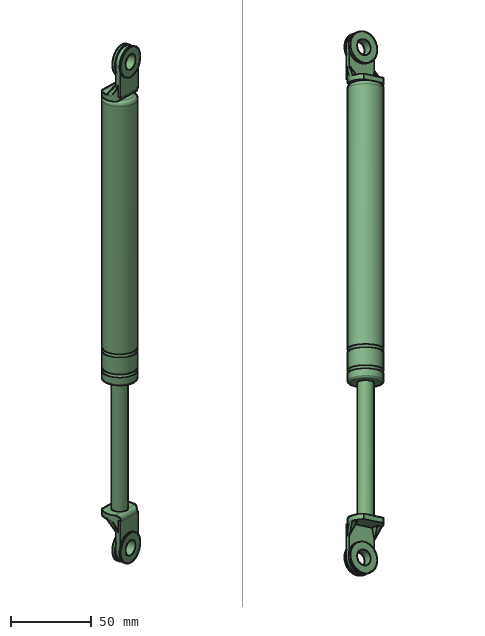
import cadquery as cq


length = 350.0
body_diameter = 22.5
body_radius = body_diameter / 2
seat_height = 140.5
tube_bottom = -52.5
rod_diameter = 10.5

tube_end_round = 2.8
groove_centres = [-32.0, -45.5]
groove_width = 2.0
groove_depth = 0.7

sheet = 3.5
plate_outer_x = 7.5
plate_inner_x = plate_outer_x - sheet
plate_width = 19.0
bend_radius = 3.5
base_flat_x = -8.5
gusset_rise = 7.7
gusset_run = 5.5
gusset_inner_y = 7.7

flange_diameter = 20.3
sleeve_diameter = 14.0
eye_bore = 10.0
inner_flange = 2.0
outer_flange = 1.0
eye_height = length / 2 - flange_diameter / 2


def x_cylinder(diameter, x_start, x_end):
    """Cylinder along X through the centre of the upper eye."""
    return (
        cq.Workplane("YZ", origin=(x_start, 0, eye_height))
        .circle(diameter / 2)
        .extrude(x_end - x_start)
    )


def make_tube():
    """Solid cylinder with rounded ends and two rolled grooves."""
    tube = (
        cq.Workplane("XY", origin=(0, 0, tube_bottom))
        .circle(body_radius)
        .extrude(seat_height - tube_bottom)
        .faces(">Z").edges().fillet(tube_end_round)
        .faces("<Z").edges().fillet(tube_end_round / 2)
    )
    for z in groove_centres:
        groove = (
            cq.Workplane("XZ")
            .moveTo(body_radius, z - groove_width / 2)
            .threePointArc((body_radius - groove_depth, z), (body_radius, z + groove_width / 2))
            .lineTo(body_radius + groove_depth, z + groove_width / 2)
            .lineTo(body_radius + groove_depth, z - groove_width / 2)
            .close()
            .revolve(360, (0, 0, 0), (0, 1, 0))
        )
        tube = tube.cut(groove)
    return tube


def make_rod():
    """Rod from the tube end to the lower bracket seat."""
    return (
        cq.Workplane("XY", origin=(0, 0, -seat_height))
        .circle(rod_diameter / 2)
        .extrude(tube_bottom + seat_height)
    )


def make_gussets():
    """Two sloping side webs that join the base to the eye plate."""
    base_top = seat_height + sheet
    web_side = (
        cq.Workplane("XZ")
        .moveTo(plate_inner_x - gusset_run, base_top)
        .lineTo(plate_inner_x, base_top + gusset_rise)
        .lineTo(plate_outer_x, base_top + gusset_rise)
        .lineTo(plate_outer_x, base_top)
        .close()
        .extrude(body_radius, both=True)
    )
    webs = cq.Workplane("XY")
    for side in (1, -1):
        web = (
            cq.Workplane("YZ", origin=(-body_radius, 0, 0))
            .moveTo(side * gusset_inner_y, base_top)
            .lineTo(side * body_radius, base_top)
            .lineTo(side * plate_width / 2, base_top + gusset_rise)
            .close()
            .extrude(body_diameter)
        )
        webs = webs.add(web.intersect(web_side))
    return webs


def make_bracket():
    """Upper bracket: trimmed round base, upright eye plate and side gussets."""
    envelope = (
        cq.Workplane("XY", origin=(0, 0, seat_height))
        .circle(body_radius)
        .extrude(length / 2 - seat_height)
    )
    angle = (
        cq.Workplane("XZ")
        .moveTo(base_flat_x, seat_height)
        .lineTo(plate_outer_x, seat_height)
        .lineTo(plate_outer_x, eye_height)
        .lineTo(plate_inner_x, eye_height)
        .lineTo(plate_inner_x, seat_height + sheet)
        .lineTo(base_flat_x, seat_height + sheet)
        .close()
        .extrude(body_radius, both=True)
    )
    upright_trim = (
        cq.Workplane("XY")
        .box(body_diameter, plate_width, eye_height, centered=(True, True, False))
    )
    base_trim = (
        cq.Workplane("XY")
        .box(body_diameter, body_diameter, seat_height + sheet, centered=(True, True, False))
    )
    bend_edge = cq.selectors.NearestToPointSelector((plate_outer_x, 0, seat_height))
    sheet_body = angle.edges(bend_edge).fillet(bend_radius)
    sheet_body = sheet_body.intersect(upright_trim.union(base_trim))
    bracket = sheet_body
    for web in make_gussets().vals():
        bracket = bracket.union(cq.Workplane(web))
    bracket = bracket.intersect(envelope)
    eye = x_cylinder(plate_width, plate_inner_x, plate_outer_x)
    upright = sheet_body.intersect(
        cq.Workplane("XY", origin=(0, 0, seat_height + sheet))
        .box(body_diameter, body_diameter, length / 2, centered=(True, True, False))
    )
    bracket = bracket.union(upright).union(eye)
    return bracket.cut(x_cylinder(sleeve_diameter, plate_inner_x, plate_outer_x))


def make_bushing():
    """Upper eye bushing: sleeve in the bracket with a flange on each face."""
    inner_face = plate_inner_x - inner_flange
    outer_face = plate_outer_x + outer_flange
    return (
        x_cylinder(sleeve_diameter, plate_inner_x, plate_outer_x)
        .union(x_cylinder(flange_diameter, inner_face, plate_inner_x))
        .union(x_cylinder(flange_diameter, plate_outer_x, outer_face))
        .cut(x_cylinder(eye_bore, inner_face, outer_face))
    )


tube = make_tube()
rod = make_rod()
end_fittings = []
for make_fitting in (make_bracket, make_bushing):
    upper = make_fitting()
    lower = upper.mirror("XY")
    end_fittings += [upper.val(), lower.val()]

result = cq.Compound.makeCompound([tube.val(), rod.val(), *end_fittings])